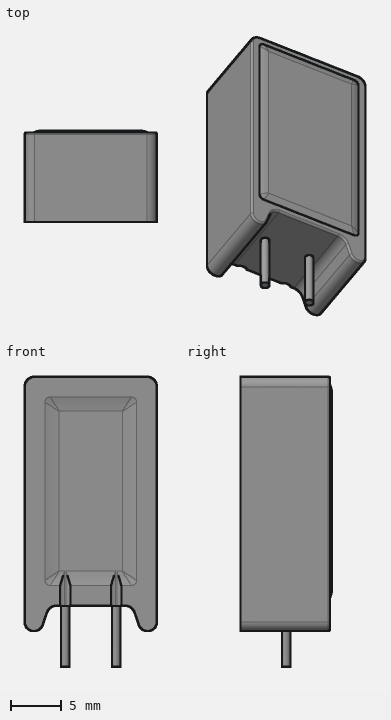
import cadquery as cq
import math

case_width = 13.0
overall_depth = 9.0
case_height = 25.0
floor_height = 22.5
top_corner_radius = 1.0
back_edge_radius = 0.2

foot_tip_radius = 0.92
flank_angle = math.radians(19)
foot_root_radius = 1.0

relief = 0.2
front_slope_width = 1.4
back_slope_width = 0.9
slope_steps = 4
panel_corner_radius = 0.5
sharp_corner_radius = 0.02
front_panel_width = 9.0
front_panel_height = 18.5
back_panel_width = 11.2
back_panel_height = 20.9

pin_diameter = 0.85
pin_pitch = 5.0
pin_embed = 2.0
overall_height = 28.5
groove_width = 1.0
groove_floor_width = 0.12

top_z = overall_height / 2
underside_z = top_z - floor_height
foot_z = top_z - case_height
pin_end_z = top_z - overall_height
panel_z = (top_z + underside_z) / 2
front_y = -overall_depth / 2
back_y = overall_depth / 2 - relief


def case_body():
    """Extruded case outline with two feet and a rounded back rim."""
    half_width = case_width / 2
    tip_x = half_width - foot_tip_radius
    tip_z = foot_z + foot_tip_radius
    flank_x = tip_x - foot_tip_radius * math.cos(flank_angle)
    flank_z = tip_z - foot_tip_radius * math.sin(flank_angle)
    root_x = flank_x - (underside_z - flank_z) * math.tan(flank_angle)

    outline = (
        cq.Workplane("XZ", origin=(0, front_y, 0))
        .moveTo(-half_width, top_z)
        .lineTo(half_width, top_z)
        .lineTo(half_width, tip_z)
        .threePointArc((tip_x, foot_z), (flank_x, flank_z))
        .lineTo(root_x, underside_z)
        .lineTo(-root_x, underside_z)
        .lineTo(-flank_x, flank_z)
        .threePointArc((-tip_x, foot_z), (-half_width, tip_z))
        .close()
    )
    body = outline.extrude(-(back_y - front_y))
    for side in (-1, 1):
        root = cq.selectors.NearestToPointSelector((side * root_x, (front_y + back_y) / 2, underside_z))
        body = body.edges("|Y").edges(root).fillet(foot_root_radius)
        corner = cq.selectors.NearestToPointSelector((side * half_width, (front_y + back_y) / 2, top_z))
        body = body.edges("|Y").edges(corner).fillet(top_corner_radius)
    return body.faces(">Y").edges().fillet(back_edge_radius)


def slope_radius(run):
    """Radius of an arc that starts level and drops by the relief over the run."""
    return (run ** 2 + relief ** 2) / (2 * relief)


def panel(width, height, slope_width, base_y):
    """Raised panel towards +Y with an arc-shaped border, level where it meets the flat top."""
    radius = slope_radius(slope_width)
    sections = []
    for step in range(slope_steps + 1):
        fraction = step / slope_steps
        inset = slope_width * fraction
        drop = radius - math.sqrt(radius ** 2 - (slope_width - inset) ** 2)
        corner = panel_corner_radius + (sharp_corner_radius - panel_corner_radius) * fraction
        section = (
            cq.Sketch()
            .rect(width - 2 * inset, height - 2 * inset)
            .vertices()
            .fillet(corner)
            .moved(cq.Location(cq.Vector(0, 0, drop - relief)))
        )
        sections.append(section)
    plane = cq.Workplane("XZ", origin=(0, base_y, panel_z))
    return plane.placeSketch(*sections).loft()


def pin_groove(x):
    """Groove in the front face, flaring from a narrow floor to its mouth by two arcs."""
    half_mouth = groove_width / 2
    half_floor = groove_floor_width / 2
    run = half_mouth - half_floor
    radius = slope_radius(run)
    mid_drop = radius - math.sqrt(radius ** 2 - (run / 2) ** 2)
    mid_x = half_floor + run / 2
    floor_y = front_y + relief
    groove_top_z = panel_z - front_panel_height / 2 + front_slope_width
    return (
        cq.Workplane("XY", origin=(x, 0, underside_z))
        .moveTo(-half_mouth, front_y)
        .threePointArc((-mid_x, floor_y - mid_drop), (-half_floor, floor_y))
        .lineTo(half_floor, floor_y)
        .threePointArc((mid_x, floor_y - mid_drop), (half_mouth, front_y))
        .close()
        .extrude(groove_top_z - underside_z)
    )


def pin(x):
    """Round lead running from inside the case to the lowest point of the part."""
    return (
        cq.Workplane("XY", origin=(x, 0, pin_end_z))
        .circle(pin_diameter / 2)
        .extrude(underside_z + pin_embed - pin_end_z)
    )


result = case_body()
result = result.union(panel(back_panel_width, back_panel_height, back_slope_width, back_y))
result = result.cut(panel(front_panel_width, front_panel_height, front_slope_width, front_y))
for pin_x in (-pin_pitch / 2, pin_pitch / 2):
    result = result.cut(pin_groove(pin_x))
    result = result.union(pin(pin_x))